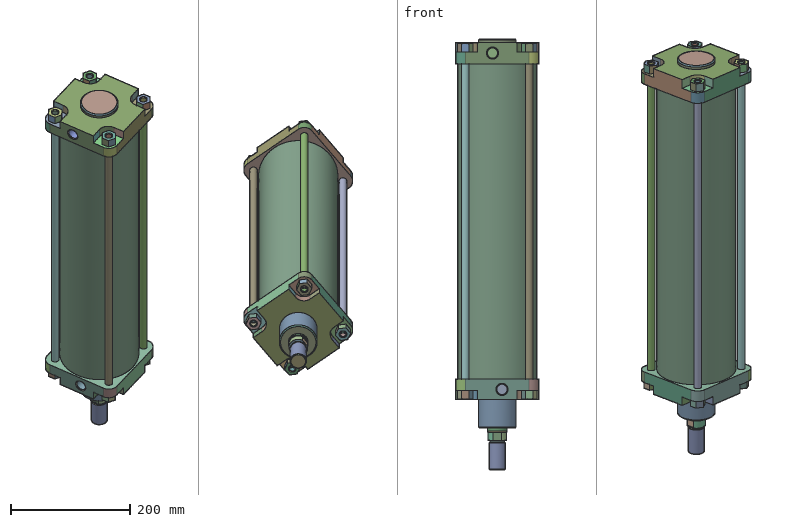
import cadquery as cq
import math


TOTAL_HEIGHT = 724.0
CAP_WIDTH = 140.0
TIE_ROD_OFFSET = 53.5

ROD_CAP_BOTTOM = 118.0
ROD_CAP_TOP = 153.0
HEAD_CAP_BOTTOM = 682.0
HEAD_CAP_TOP = 717.5
ROD_CAP_POCKET_DEPTH = 15.0
HEAD_CAP_POCKET_DEPTH = 16.0

CAP_CORNER_RADIUS = CAP_WIDTH / 2 - TIE_ROD_OFFSET
POCKET_INNER_EDGE = 33.0
POCKET_RADIUS = 17.5
BOSS_RADIUS = 32.0
BOSS_CHAMFER = 2.0
BOSS_LENGTH = 48.0

PORT_RADIUS = 9.0
PORT_DEPTH = 22.0
PORT_CHAMFER = 1.5
PORT_OFFSET = 8.0
PORT_HEAD_Z = 700.0
PORT_ROD_Z = 135.5

BARREL_RADIUS = 66.5

TIE_ROD_RADIUS = 6.5
HEX_ACROSS_FLATS = 22.5
HEX_CLEARANCE = 1.5
HEAD_HOLE_RADIUS = 5.0
HEAD_HOLE_CHAMFER = 1.5
HEAD_HOLE_CONE_ANGLE = 90
HEAD_HOLE_DEPTH = 14.5

ROD_RADIUS = 17.0
WRENCH_RADIUS = 16.0
WRENCH_ACROSS_FLATS = 28.0
WRENCH_TOP = 63.0
WRENCH_TAPER = 2.0
SHOULDER_Z = 50.0
THREAD_RADIUS = 14.0
THREAD_CHAMFER = 1.5
RELIEF_RADIUS = THREAD_RADIUS - THREAD_CHAMFER
RELIEF_LENGTH = 3.0

ROD_CAP_FLOOR = ROD_CAP_BOTTOM + ROD_CAP_POCKET_DEPTH
HEAD_CAP_FLOOR = HEAD_CAP_TOP - HEAD_CAP_POCKET_DEPTH
THREAD_TOP = SHOULDER_Z - RELIEF_LENGTH
TIE_ROD_CENTERS = [(sx * TIE_ROD_OFFSET, sy * TIE_ROD_OFFSET) for sx in (-1, 1) for sy in (-1, 1)]


def cylinder(radius, bottom, top):
    """Cylinder on the Z axis between two heights."""
    return cq.Workplane("XY", origin=(0, 0, bottom)).circle(radius).extrude(top - bottom)


def corner_pockets(bottom, top):
    """Four blocks that clear the cap corners around the tie rod heads."""
    block_center = POCKET_INNER_EDGE + CAP_WIDTH / 2
    return (
        cq.Workplane("XY", origin=(0, 0, bottom))
        .rect(2 * block_center, 2 * block_center, forConstruction=True)
        .vertices()
        .rect(CAP_WIDTH, CAP_WIDTH)
        .extrude(top - bottom)
        .edges("|Z")
        .fillet(POCKET_RADIUS)
    )


def port_cutter(x, z):
    """Blind port bored from the -Y face, with a chamfered mouth."""
    face_y = -CAP_WIDTH / 2
    mouth_radius = PORT_RADIUS + PORT_CHAMFER
    profile = [
        (0, 0),
        (mouth_radius, 0),
        (PORT_RADIUS, PORT_CHAMFER),
        (PORT_RADIUS, PORT_DEPTH),
        (0, PORT_DEPTH),
    ]
    return (
        cq.Workplane("XY")
        .polyline(profile)
        .close()
        .revolve(360, (0, 0), (0, 1))
        .translate((x, face_y, z))
    )


def make_cap(bottom, top, pocket_bottom, pocket_top, port_x, port_z):
    """Square end cap with corner pockets, tie rod holes and an air port."""
    plate = (
        cq.Workplane("XY", origin=(0, 0, bottom))
        .rect(CAP_WIDTH, CAP_WIDTH)
        .extrude(top - bottom)
        .edges("|Z")
        .fillet(CAP_CORNER_RADIUS)
    )
    tie_rod_holes = (
        cq.Workplane("XY", origin=(0, 0, bottom))
        .pushPoints(TIE_ROD_CENTERS)
        .circle(TIE_ROD_RADIUS)
        .extrude(top - bottom)
    )
    return (
        plate
        .cut(corner_pockets(pocket_bottom, pocket_top))
        .cut(tie_rod_holes)
        .cut(port_cutter(port_x, port_z))
    )


def make_head_cap():
    """Upper cap, closed, with a low round boss on top."""
    cap = make_cap(HEAD_CAP_BOTTOM, HEAD_CAP_TOP, HEAD_CAP_FLOOR, HEAD_CAP_TOP, -PORT_OFFSET, PORT_HEAD_Z)
    boss = cylinder(BOSS_RADIUS, HEAD_CAP_TOP, TOTAL_HEIGHT).faces(">Z").chamfer(BOSS_CHAMFER)
    return cap.union(boss)


def make_rod_cap():
    """Lower cap with the long guide boss, bored through for the piston rod."""
    cap = make_cap(ROD_CAP_BOTTOM, ROD_CAP_TOP, ROD_CAP_BOTTOM, ROD_CAP_FLOOR, PORT_OFFSET, PORT_ROD_Z)
    boss_end = ROD_CAP_BOTTOM - BOSS_LENGTH
    boss = cylinder(BOSS_RADIUS, boss_end, ROD_CAP_BOTTOM).faces("<Z").chamfer(BOSS_CHAMFER)
    return cap.union(boss).cut(cylinder(ROD_RADIUS, boss_end, ROD_CAP_TOP))


def make_barrel():
    """Round barrel between the two caps."""
    return cylinder(BARREL_RADIUS, ROD_CAP_TOP, HEAD_CAP_BOTTOM)


def make_piston_rod():
    """Piston rod with two wrench flats facing +-Y and a chamfered end thread."""
    taper_step = ROD_RADIUS - WRENCH_RADIUS
    shaft = cylinder(ROD_RADIUS, WRENCH_TOP, ROD_CAP_TOP).faces("<Z").chamfer(WRENCH_TAPER, taper_step)
    flat_bounds = (
        cq.Workplane("XY", origin=(0, 0, SHOULDER_Z))
        .rect(2 * ROD_RADIUS, WRENCH_ACROSS_FLATS)
        .extrude(WRENCH_TOP - SHOULDER_Z)
    )
    wrench_section = cylinder(WRENCH_RADIUS, SHOULDER_Z, WRENCH_TOP).intersect(flat_bounds)
    relief = cylinder(RELIEF_RADIUS, THREAD_TOP, SHOULDER_Z)
    thread = cylinder(THREAD_RADIUS, 0, THREAD_TOP).faces("<Z or >Z").chamfer(THREAD_CHAMFER)
    return shaft.union(wrench_section).union(relief).union(thread)


def hex_head(bottom, top):
    """Hexagonal tie rod head with corners on the X axis."""
    across_corners = HEX_ACROSS_FLATS / math.cos(math.pi / 6)
    return cq.Workplane("XY", origin=(0, 0, bottom)).polygon(6, across_corners).extrude(top - bottom)


def make_tie_rod(center):
    """Tie rod with a head in each cap and a chamfered blind hole in both ends."""
    bottom = ROD_CAP_BOTTOM + HEX_CLEARANCE
    top = HEAD_CAP_TOP - HEX_CLEARANCE
    mouth_radius = HEAD_HOLE_RADIUS + HEAD_HOLE_CHAMFER
    rod = (
        cylinder(TIE_ROD_RADIUS, ROD_CAP_FLOOR, HEAD_CAP_FLOOR)
        .union(hex_head(bottom, ROD_CAP_FLOOR))
        .union(hex_head(HEAD_CAP_FLOOR, top))
    )
    for end in (">Z", "<Z"):
        rod = rod.faces(end).workplane(centerOption="CenterOfMass").cskHole(
            2 * HEAD_HOLE_RADIUS, 2 * mouth_radius, HEAD_HOLE_CONE_ANGLE, HEAD_HOLE_DEPTH
        )
    return rod.translate((center[0], center[1], 0))


barrel = make_barrel()
head_cap = make_head_cap()
rod_cap = make_rod_cap()
piston_rod = make_piston_rod()
tie_rods = [make_tie_rod(center) for center in TIE_ROD_CENTERS]

result = cq.Compound.makeCompound(
    [
        barrel.val(),
        head_cap.val(),
        rod_cap.val(),
        piston_rod.val(),
        *[tie_rod.val() for tie_rod in tie_rods],
    ]
)